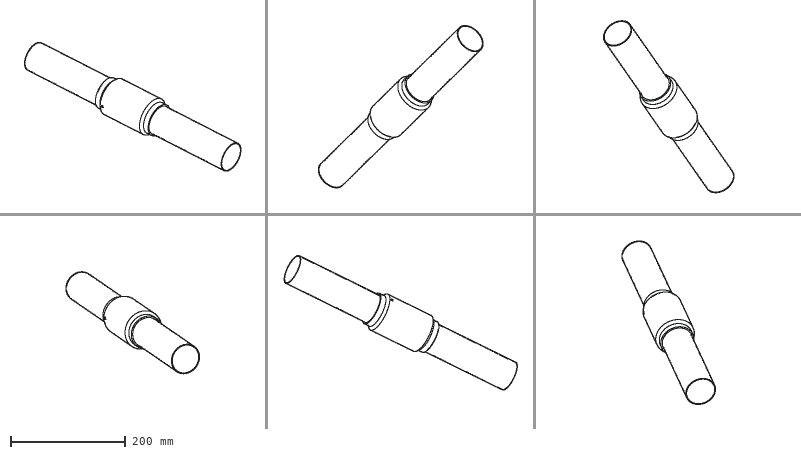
import cadquery as cq

PIPE_LENGTH = 450.0
PIPE_OUTER_DIAMETER = 54.0
PIPE_BORE_DIAMETER = 51.0

SLEEVE_BORE_DIAMETER = 54.5
COLLAR_DIAMETER = 60.0
BARREL_DIAMETER = 70.0
SLEEVE_LENGTH = 120.5
CONE_BASE_SPAN = 100.0
BARREL_LENGTH = 90.0

PORT_DIAMETER = 4.0
PORT_X = -40.0
PORT_Z = 1.0


def make_pipe():
    """Plain tube, open at both ends."""
    return (
        cq.Workplane("YZ", origin=(-PIPE_LENGTH / 2, 0, 0))
        .circle(PIPE_OUTER_DIAMETER / 2)
        .circle(PIPE_BORE_DIAMETER / 2)
        .extrude(PIPE_LENGTH)
    )


def make_sleeve_blank():
    """Revolved barrel with a cone and a collar at each end."""
    bore_radius = SLEEVE_BORE_DIAMETER / 2
    collar_radius = COLLAR_DIAMETER / 2
    barrel_radius = BARREL_DIAMETER / 2
    profile = [
        (-SLEEVE_LENGTH / 2, bore_radius),
        (-SLEEVE_LENGTH / 2, collar_radius),
        (-CONE_BASE_SPAN / 2, collar_radius),
        (-BARREL_LENGTH / 2, barrel_radius),
        (BARREL_LENGTH / 2, barrel_radius),
        (CONE_BASE_SPAN / 2, collar_radius),
        (SLEEVE_LENGTH / 2, collar_radius),
        (SLEEVE_LENGTH / 2, bore_radius),
    ]
    return cq.Workplane("XY").polyline(profile).close().revolve(360, (0, 0, 0), (1, 0, 0))


def make_port_cutter():
    """Cylinder along -Y from the mid-plane out through the -Y wall of the barrel."""
    return (
        cq.Workplane("XZ")
        .center(PORT_X, PORT_Z)
        .circle(PORT_DIAMETER / 2)
        .extrude(BARREL_DIAMETER)
    )


pipe = make_pipe()
sleeve = make_sleeve_blank().cut(make_port_cutter())

result = cq.Compound.makeCompound([pipe.val(), sleeve.val()])